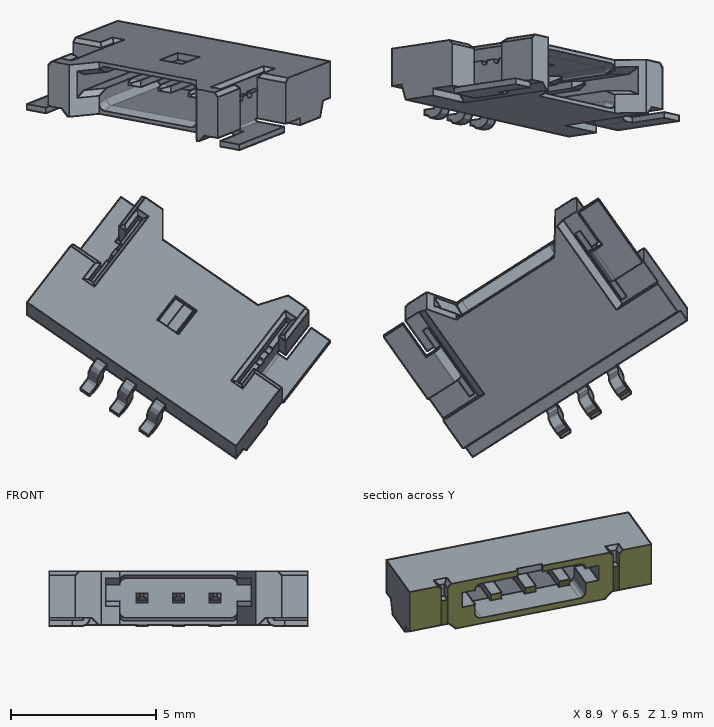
import cadquery as cq
import math


width = 8.9
housing_depth = 5.49
top_z = 1.9
board_gap = 0.04
edge_chamfer = 0.14

rear_step_z = 0.59
rear_ledge = 0.43
rear_ledge_slope = 0.18

block_front_y = 2.8
wing_half_width = 3.55
wing_rear_y = 1.35

side_recess_z = 0.285
side_recess_rear_y = 3.67
side_recess_top_x = 2.99
side_recess_bottom_x = 2.74

mouth_depth = 0.89
mouth_rear_half = 2.03
mouth_front_half = 2.66

cavity_half = mouth_rear_half
cavity_floor_z = 0.285
cavity_roof_z = 1.65
cavity_rear_y = 4.37
cavity_radius = 0.22
lead_in_length = 0.41
lead_in_drop = 0.11

groove_half = 2.5
groove_floor_z = 0.86
groove_roof_z = 1.43
groove_lead_drop = 0.18
groove_lead_rise = cavity_roof_z - groove_roof_z

window_width = 0.91
window_front_y = 2.3
window_rear_y = 3.36

sheet = 0.205
plate_outer_x = 3.26
plate_inner_x = plate_outer_x - sheet
plate_front_y = 0.64
plate_rear_y = 3.52
plate_top_z = 1.28
notch_radius = 0.12
notch_depth = 0.15
notch_ys = (1.82, 2.34)
bend_radius = side_recess_z - sheet
foot_rear_y = 2.72
foot_front_y = 1.43
toe_inner_x = 3.65

contact_count = 3
pitch = 1.255
pin_width = 0.4
pin_bottom_z = 0.81
pin_top_z = 1.14
blade_bottom_z = 0.89
blade_ramp = 0.11
contact_tip_y = 1.6
tip_length = 0.39
tip_width = 0.125
tip_bottom_z = 1.02
tip_top_z = 1.11
joint_y = (cavity_rear_y + housing_depth) / 2

tail_end_y = 6.5
tail_upright_rear_y = 6.03
tail_upright_front_y = 5.69
tail_inner_radius = 0.08
tail_heel_radius = 0.4
tail_shoulder_radius = 0.43
tail_foot_top_z = 0.31
tail_toe_z = 0.125
tail_toe_slope_rear_y = 6.38
tail_sole_rear_y = 6.25


def box(x0, x1, y0, y1, z0, z1):
    """Box between two opposite corners, given in any order."""
    size = (abs(x1 - x0), abs(y1 - y0), abs(z1 - z0))
    corner = (min(x0, x1), min(y0, y1), min(z0, z1))
    return cq.Workplane("XY").box(*size, centered=False).translate(corner)


def extrude_along_x(outline_yz, x0, x1):
    """Prism with a closed (y, z) polygon as section, from x0 to x1."""
    return cq.Workplane("YZ", origin=(x0, 0, 0)).polyline(outline_yz).close().extrude(x1 - x0)


def extrude_along_y(outline_xz, y0, y1):
    """Prism with a closed (x, z) polygon as section, from y0 to y1."""
    return cq.Workplane("XZ", origin=(0, y0, 0)).polyline(outline_xz).close().extrude(y0 - y1)


def ruled_loft(wire_a, wire_b):
    """Solid with straight sides between two closed wires."""
    return cq.Workplane(cq.Solid.makeLoft([wire_a, wire_b], True))


def polygon_wire(points):
    return cq.Wire.makePolygon([cq.Vector(*point) for point in points], close=True)


def rectangle_wire(x0, x1, y0, y1, z):
    """Horizontal rectangle at height z."""
    return polygon_wire([(x0, y0, z), (x1, y0, z), (x1, y1, z), (x0, y1, z)])


def mid_arc_point(center_u, center_z, radius, u_sign, z_sign):
    """Middle of a quarter arc in a vertical plane, in the quadrant given by the two signs."""
    offset = radius * math.sqrt(0.5)
    return (center_u + u_sign * offset, center_z + z_sign * offset)


def mirrored(solid, side):
    """The solid built for +X, or its mirror image when side is -1."""
    return solid if side > 0 else solid.mirror("YZ")


def housing_blank():
    profile = [
        (0, board_gap),
        (housing_depth - rear_ledge - rear_ledge_slope, board_gap),
        (housing_depth - rear_ledge, rear_step_z),
        (housing_depth, rear_step_z),
        (housing_depth, top_z),
        (0, top_z),
    ]
    return extrude_along_x(profile, -width / 2, width / 2)


def mouth_cut():
    """Trapezoid that opens the mating face over the full height."""
    outline = [
        (-mouth_front_half, 0),
        (mouth_front_half, 0),
        (mouth_rear_half, mouth_depth),
        (-mouth_rear_half, mouth_depth),
    ]
    return cq.Workplane("XY").polyline(outline).close().extrude(top_z)


def side_opening():
    """Space beside the wing and the gap that bares the tab, with bevelled top edges."""
    beside_wing = box(wing_half_width, width / 2, 0, block_front_y, 0, top_z)
    gap = box(plate_outer_x, width / 2, wing_rear_y, block_front_y, 0, top_z)
    bevel_z = top_z - edge_chamfer
    gap_bevel = ruled_loft(
        rectangle_wire(plate_outer_x, width / 2, wing_rear_y, block_front_y, bevel_z),
        rectangle_wire(
            plate_outer_x - edge_chamfer,
            width / 2,
            wing_rear_y - edge_chamfer,
            block_front_y + edge_chamfer,
            top_z,
        ),
    )
    wing_bevel = extrude_along_y(
        [
            (wing_half_width, bevel_z),
            (wing_half_width, top_z),
            (wing_half_width - edge_chamfer, top_z),
        ],
        0,
        wing_rear_y,
    )
    return beside_wing.union(gap).union(gap_bevel).union(wing_bevel)


def tab_slot():
    """Slot for the upright plate of a tab, with a funnel-shaped mouth at the top."""
    slot = box(plate_inner_x, plate_outer_x, plate_front_y, plate_rear_y, 0, top_z)
    funnel = ruled_loft(
        rectangle_wire(plate_inner_x, plate_outer_x, plate_front_y, plate_rear_y, top_z - edge_chamfer),
        rectangle_wire(
            plate_inner_x - edge_chamfer,
            plate_outer_x + edge_chamfer,
            plate_front_y - edge_chamfer,
            plate_rear_y + edge_chamfer,
            top_z,
        ),
    )
    return slot.union(funnel)


def side_recess():
    """Recess under the side of the housing, with a sloping inner wall."""
    section = [
        (side_recess_bottom_x, board_gap),
        (side_recess_top_x, side_recess_z),
        (width / 2, side_recess_z),
        (width / 2, board_gap),
    ]
    return extrude_along_y(section, 0, side_recess_rear_y)


def rounded_outline(height):
    """Rectangle of the cavity width with rounded corners."""
    return cq.Sketch().rect(2 * cavity_half, height).vertices().fillet(cavity_radius)


def cavity():
    """Rounded chamber whose floor and roof flare open towards the mouth."""
    height = cavity_roof_z - cavity_floor_z
    mouth_plane = cq.Workplane("XZ", origin=(0, mouth_depth, (cavity_roof_z + cavity_floor_z) / 2))
    chamber_outline = rounded_outline(height)
    chamber = mouth_plane.placeSketch(chamber_outline).extrude(mouth_depth - cavity_rear_y)
    lead_in = mouth_plane.placeSketch(
        rounded_outline(height + 2 * lead_in_drop),
        chamber_outline.moved(cq.Location(cq.Vector(0, 0, -lead_in_length))),
    ).loft()
    return chamber.union(lead_in)


def groove_section(x):
    """Section of the polarising groove at x; its lead-in follows the slanted mouth wall."""
    slant = mouth_depth / (mouth_front_half - mouth_rear_half)
    wall_y = mouth_depth - (x - mouth_rear_half) * slant
    lead_end_y = wall_y + lead_in_length
    outline = [
        (wall_y, groove_floor_z - groove_lead_drop),
        (lead_end_y, groove_floor_z),
        (cavity_rear_y, groove_floor_z),
        (cavity_rear_y, groove_roof_z),
        (lead_end_y, groove_roof_z),
        (wall_y, groove_roof_z + groove_lead_rise),
    ]
    return polygon_wire([(x, y, z) for y, z in outline])


def groove():
    return ruled_loft(groove_section(cavity_half), groove_section(groove_half))


def window():
    return box(
        -window_width / 2, window_width / 2, window_front_y, window_rear_y, cavity_roof_z, top_z
    )


def hold_down_tab():
    """Tab on the +X side: an upright notched plate bent outward into a solder foot."""
    plate = box(plate_inner_x, plate_outer_x, plate_front_y, plate_rear_y, side_recess_z, plate_top_z)
    for y in notch_ys:
        center_z = plate_top_z - notch_depth + notch_radius
        round_end = (
            cq.Workplane("YZ", origin=(plate_inner_x, y, center_z)).circle(notch_radius).extrude(sheet)
        )
        throat = box(
            plate_inner_x, plate_outer_x, y - notch_radius, y + notch_radius, center_z, plate_top_z
        )
        plate = plate.cut(round_end).cut(throat)

    bend_x = plate_outer_x + bend_radius
    bend_z = side_recess_z
    bent_foot = (
        cq.Workplane("XZ", origin=(0, foot_front_y, 0))
        .moveTo(plate_inner_x, bend_z)
        .threePointArc(mid_arc_point(bend_x, bend_z, bend_radius + sheet, -1, -1), (bend_x, 0))
        .lineTo(width / 2, 0)
        .lineTo(width / 2, sheet)
        .lineTo(bend_x, sheet)
        .threePointArc(mid_arc_point(bend_x, bend_z, bend_radius, -1, -1), (plate_outer_x, bend_z))
        .close()
        .extrude(foot_front_y - foot_rear_y)
    )
    toe = box(toe_inner_x, width / 2, 0, foot_front_y, 0, sheet)
    return plate.union(bent_foot).union(toe)


def contact(x):
    """Straight contact: thick root in the rear wall, thinner blade in the cavity, tapered tip."""
    taper_y = contact_tip_y + tip_length
    profile = [
        (joint_y, pin_bottom_z),
        (joint_y, pin_top_z),
        (taper_y, pin_top_z),
        (taper_y, blade_bottom_z),
        (cavity_rear_y - blade_ramp, blade_bottom_z),
        (cavity_rear_y, pin_bottom_z),
    ]
    shank = extrude_along_x(profile, x - pin_width / 2, x + pin_width / 2)

    def cross_section(y, section_width, z0, z1):
        half = section_width / 2
        return polygon_wire(
            [(x - half, y, z0), (x + half, y, z0), (x + half, y, z1), (x - half, y, z1)]
        )

    tip = ruled_loft(
        cross_section(taper_y, pin_width, blade_bottom_z, pin_top_z),
        cross_section(contact_tip_y, tip_width, tip_bottom_z, tip_top_z),
    )
    return shank.union(tip)


def solder_tail(x):
    """Gull-wing tail from the rear wall down to the board."""
    bend_y = tail_upright_front_y - tail_inner_radius
    bend_z = pin_bottom_z - tail_inner_radius
    shoulder_y = tail_upright_rear_y - tail_shoulder_radius
    shoulder_z = pin_top_z - tail_shoulder_radius
    heel_y = tail_upright_front_y + tail_heel_radius
    ankle_y = tail_upright_rear_y + tail_inner_radius
    ankle_z = tail_foot_top_z + tail_inner_radius

    return (
        cq.Workplane("YZ", origin=(x - pin_width / 2, 0, 0))
        .moveTo(joint_y, pin_bottom_z)
        .lineTo(bend_y, pin_bottom_z)
        .threePointArc(
            mid_arc_point(bend_y, bend_z, tail_inner_radius, 1, 1),
            (tail_upright_front_y, bend_z),
        )
        .lineTo(tail_upright_front_y, tail_heel_radius)
        .threePointArc(
            mid_arc_point(heel_y, tail_heel_radius, tail_heel_radius, -1, -1),
            (heel_y, 0),
        )
        .lineTo(tail_sole_rear_y, 0)
        .lineTo(tail_toe_slope_rear_y, tail_toe_z)
        .lineTo(tail_end_y, tail_toe_z)
        .lineTo(tail_end_y, tail_foot_top_z)
        .lineTo(ankle_y, tail_foot_top_z)
        .threePointArc(
            mid_arc_point(ankle_y, ankle_z, tail_inner_radius, -1, -1),
            (tail_upright_rear_y, ankle_z),
        )
        .lineTo(tail_upright_rear_y, shoulder_z)
        .threePointArc(
            mid_arc_point(shoulder_y, shoulder_z, tail_shoulder_radius, 1, 1),
            (shoulder_y, pin_top_z),
        )
        .lineTo(joint_y, pin_top_z)
        .close()
        .extrude(pin_width)
    )


def contact_hole(x):
    """Passage through the rear wall that holds a contact and its tail."""
    half = pin_width / 2
    return box(x - half, x + half, cavity_rear_y, housing_depth, pin_bottom_z, pin_top_z)


contact_xs = [pitch * (i - (contact_count - 1) / 2) for i in range(contact_count)]
sides = (-1, 1)

housing = housing_blank().cut(mouth_cut()).cut(cavity()).cut(window())
for side in sides:
    for cutter in (side_opening(), tab_slot(), side_recess(), groove()):
        housing = housing.cut(mirrored(cutter, side))
for x in contact_xs:
    housing = housing.cut(contact_hole(x))

tabs = [mirrored(hold_down_tab(), side) for side in sides]
contacts = [contact(x) for x in contact_xs]
tails = [solder_tail(x) for x in contact_xs]

result = cq.Compound.makeCompound(
    [
        housing.val(),
        *[tab.val() for tab in tabs],
        *[blade.val() for blade in contacts],
        *[tail.val() for tail in tails],
    ]
)